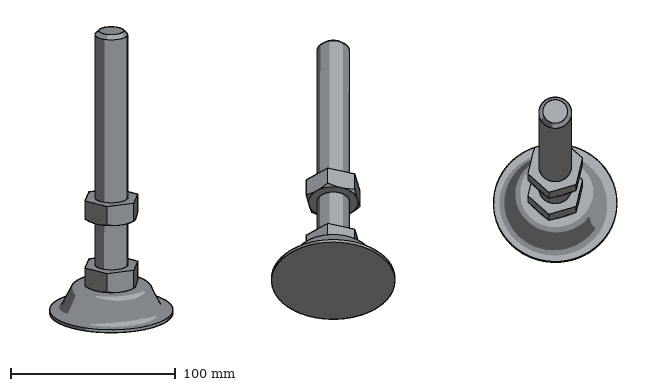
import cadquery as cq
import math

total_height = 181.0

flange_diameter = 75.0
flange_thickness = 2.0
foot_height = 18.0
cone_bottom_radius = 31.3
cone_top_radius = 23.5
foot_fillet = 4.0

stud_diameter = 20.0
stud_chamfer = 2.5

nut_sides = 6
nut_across_flats = 30.0
nut_height = 13.0
nut_chamfer_angle = 30.0
upper_nut_gap = 30.0

lower_nut_z = foot_height
upper_nut_z = lower_nut_z + nut_height + upper_nut_gap


def make_foot():
    """Solid of revolution: flange, cone, rounded top edge and filleted cone base."""
    flange_radius = flange_diameter / 2
    foot = (
        cq.Workplane("XZ")
        .moveTo(0, 0)
        .lineTo(flange_radius, 0)
        .lineTo(flange_radius, flange_thickness)
        .lineTo(cone_bottom_radius, flange_thickness)
        .lineTo(cone_top_radius, foot_height)
        .lineTo(0, foot_height)
        .close()
        .revolve(360, (0, 0, 0), (0, 1, 0))
    )
    cone_edges = foot.faces("%CONE").edges("%CIRCLE")
    return cone_edges.fillet(foot_fillet)


def make_stud():
    """Round stud standing on the foot, chamfered at its top end."""
    stud = (
        cq.Workplane("XY", origin=(0, 0, foot_height))
        .circle(stud_diameter / 2)
        .extrude(total_height - foot_height)
    )
    return stud.faces(">Z").chamfer(stud_chamfer)


def make_nut(bottom_z):
    """Hexagon nut with corners on the X axis, a plain bore and conically chamfered bottom corners."""
    flat_radius = nut_across_flats / 2
    corner_radius = flat_radius / math.cos(math.pi / nut_sides)
    corner_drop = (corner_radius - flat_radius) * math.tan(math.radians(nut_chamfer_angle))
    hexagon = cq.Workplane("XY").polygon(nut_sides, 2 * corner_radius).extrude(nut_height)
    chamfer_envelope = (
        cq.Workplane("XZ")
        .moveTo(0, 0)
        .lineTo(flat_radius, 0)
        .lineTo(corner_radius, corner_drop)
        .lineTo(corner_radius, nut_height)
        .lineTo(0, nut_height)
        .close()
        .revolve(360, (0, 0, 0), (0, 1, 0))
    )
    bore = cq.Workplane("XY").circle(stud_diameter / 2).extrude(nut_height)
    return hexagon.intersect(chamfer_envelope).cut(bore).translate((0, 0, bottom_z))


foot = make_foot()
stud = make_stud()
nuts = [make_nut(bottom_z) for bottom_z in (lower_nut_z, upper_nut_z)]

result = cq.Compound.makeCompound([foot.val(), stud.val(), *[nut.val() for nut in nuts]])